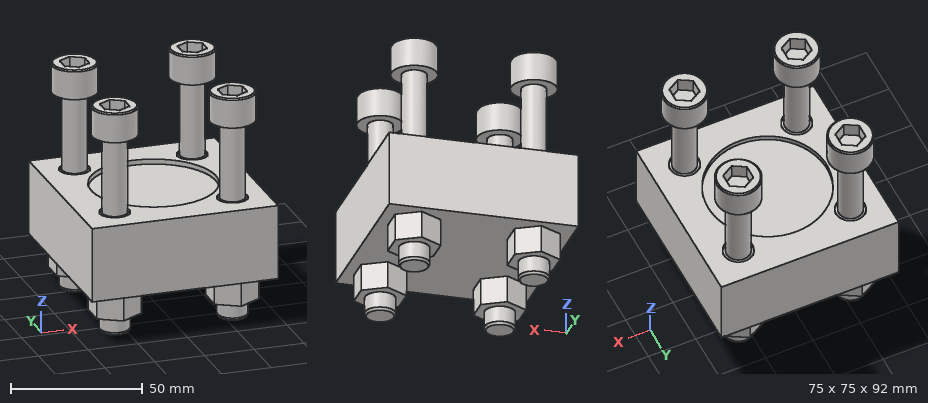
import cadquery as cq
import math

total_height = 92.0
block_side = 75.0
block_height = 30.0

recess_diameter = 50.0
recess_depth = 2.0

bolt_spacing = 47.4
head_diameter = 18.0
head_height = 12.0
head_chamfer = 0.55
socket_flats = 10.0
socket_depth = 6.0
shank_diameter = 9.8
thread_diameter = 12.0
thread_tip_length = 7.45
tip_chamfer_height = 1.1
tip_chamfer_width = 0.55

nut_flats = 18.0
nut_height = 10.8

nut_bottom = thread_tip_length
block_bottom = nut_bottom + nut_height
block_top = block_bottom + block_height
head_bottom = total_height - head_height


def hexagon_prism(flats, bottom, height):
    """Upright hexagonal prism with flats facing -X and +X."""
    corner_diameter = flats / math.cos(math.pi / 6)
    return (
        cq.Workplane("XY", origin=(0, 0, bottom))
        .transformed(rotate=(0, 0, 90))
        .polygon(6, corner_diameter)
        .extrude(height)
    )


def make_block():
    """Square block with a shallow round recess in its top face."""
    block = (
        cq.Workplane("XY", origin=(0, 0, block_bottom))
        .rect(block_side, block_side)
        .extrude(block_height)
    )
    recess = (
        cq.Workplane("XY", origin=(0, 0, block_top - recess_depth))
        .circle(recess_diameter / 2)
        .extrude(recess_depth)
    )
    return block.cut(recess)


def make_bolt_hole():
    """Through hole in the block that the bolt thread fills."""
    return (
        cq.Workplane("XY", origin=(0, 0, block_bottom))
        .circle(thread_diameter / 2)
        .extrude(block_height)
    )


def make_bolt():
    """Socket-head bolt; its thread tapers into the shank at the block's top face."""
    shank_radius = shank_diameter / 2
    thread_radius = thread_diameter / 2
    head_radius = head_diameter / 2
    thread_top = block_top - (thread_radius - shank_radius)
    profile = [
        (0, 0),
        (thread_radius - tip_chamfer_width, 0),
        (thread_radius, tip_chamfer_height),
        (thread_radius, thread_top),
        (shank_radius, block_top),
        (shank_radius, head_bottom),
        (head_radius, head_bottom),
        (head_radius, total_height - head_chamfer),
        (head_radius - head_chamfer, total_height),
        (0, total_height),
    ]
    body = cq.Workplane("XZ").polyline(profile).close().revolve(360, (0, 0), (0, 1))
    socket = hexagon_prism(socket_flats, total_height - socket_depth, socket_depth)
    return body.cut(socket)


bolt_hole = make_bolt_hole()
fastener = make_bolt().union(hexagon_prism(nut_flats, nut_bottom, nut_height))

result = make_block()
for x_side in (-1, 1):
    for y_side in (-1, 1):
        position = (x_side * bolt_spacing / 2, y_side * bolt_spacing / 2, 0)
        result = result.cut(bolt_hole.translate(position))
        result = result.union(fastener.translate(position))